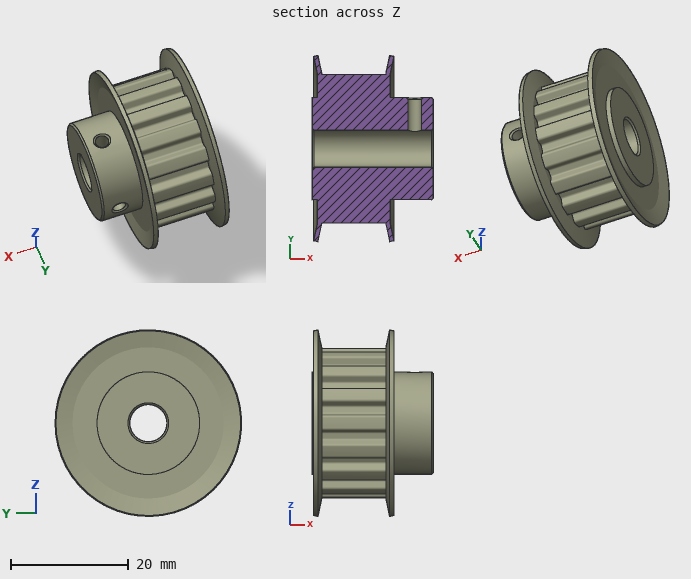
import cadquery as cq
import math


total_length = 20.65
hub_radius = 8.73
hub_chamfer = 0.32
bore_radius = 3.15
bore_chamfer = 0.32

flange_radius = 15.88
bend_radius = 12.85
sheet_thickness = 0.8
flange_angle = math.radians(12)
first_flange_x = 1.65
second_flange_x = 12.55

tooth_count = 16
tip_radius = 12.7
groove_depth = 1.4
groove_bottom_width = 1.33
flank_angle = math.radians(25)
root_fillet = 0.4
tip_fillet = 0.45

screw_x = 17.45
screw_radius = 1.15
screw_mouth_radius = 1.5


class RadialSelector(cq.Selector):
    """Straight edges along X whose distance from the axis lies between two radii."""

    def __init__(self, inner, outer):
        self.inner = inner
        self.outer = outer

    def filter(self, edges):
        along_axis = cq.selectors.ParallelDirSelector(cq.Vector(1, 0, 0)).filter(edges)
        return [e for e in along_axis if self.inner < math.hypot(e.Center().y, e.Center().z) < self.outer]


def make_core():
    core = cq.Workplane("YZ").circle(hub_radius).extrude(total_length)
    return core.faces(">X").edges().chamfer(hub_chamfer)


def make_toothed_rim():
    width = second_flange_x - first_flange_x
    rim = cq.Workplane("YZ").workplane(offset=first_flange_x).circle(tip_radius).extrude(width)

    root_radius = tip_radius - groove_depth
    bottom_half = groove_bottom_width / 2
    tip_half = bottom_half + groove_depth * math.tan(flank_angle)
    overshoot = groove_depth
    outer_half = tip_half + overshoot * math.tan(flank_angle)
    groove = (
        cq.Workplane("YZ")
        .workplane(offset=first_flange_x)
        .moveTo(root_radius, -bottom_half)
        .lineTo(tip_radius + overshoot, -outer_half)
        .lineTo(tip_radius + overshoot, outer_half)
        .lineTo(root_radius, bottom_half)
        .close()
        .extrude(width)
    )
    pitch_angle = 360 / tooth_count
    for index in range(tooth_count):
        rim = rim.cut(groove.rotate((0, 0, 0), (1, 0, 0), (index + 0.5) * pitch_angle))

    middle_radius = (tip_radius + root_radius) / 2
    rim = rim.edges(RadialSelector(0, middle_radius)).fillet(root_fillet)
    return rim.edges(RadialSelector(middle_radius, flange_radius)).fillet(tip_fillet)


def make_flange(inner_face_x, outward):
    """Dished disc; outward is -1 or +1, the X direction in which it bends away from the teeth."""
    outer_face_x = inner_face_x + outward * sheet_thickness
    inner_rise = (flange_radius - bend_radius) * math.tan(flange_angle)
    rim_x = inner_face_x + outward * inner_rise
    edge_x = rim_x + outward * sheet_thickness * math.cos(flange_angle)
    edge_radius = flange_radius - sheet_thickness * math.sin(flange_angle)
    return (
        cq.Workplane("XY")
        .moveTo(inner_face_x, 0)
        .lineTo(inner_face_x, bend_radius)
        .lineTo(rim_x, flange_radius)
        .lineTo(edge_x, edge_radius)
        .lineTo(outer_face_x, bend_radius)
        .lineTo(outer_face_x, 0)
        .close()
        .revolve(360, (0, 0, 0), (1, 0, 0))
    )


def make_bore():
    mouth_radius = bore_radius + bore_chamfer
    return (
        cq.Workplane("XY")
        .lineTo(0, mouth_radius)
        .lineTo(bore_chamfer, bore_radius)
        .lineTo(total_length - bore_chamfer, bore_radius)
        .lineTo(total_length, mouth_radius)
        .lineTo(total_length, 0)
        .close()
        .revolve(360, (0, 0, 0), (1, 0, 0))
    )


def make_screw_hole():
    """Countersunk hole along +Z from the axis out through the hub."""
    countersink_depth = screw_mouth_radius - screw_radius
    return (
        cq.Workplane("XZ")
        .lineTo(screw_radius, 0)
        .lineTo(screw_radius, hub_radius - countersink_depth)
        .lineTo(screw_mouth_radius, hub_radius)
        .lineTo(0, hub_radius)
        .close()
        .revolve(360, (0, 0, 0), (0, 1, 0))
        .translate((screw_x, 0, 0))
    )


screw_hole = make_screw_hole()

result = (
    make_core()
    .union(make_toothed_rim())
    .union(make_flange(first_flange_x, -1))
    .union(make_flange(second_flange_x, 1))
    .cut(make_bore())
    .cut(screw_hole)
    .cut(screw_hole.rotate((0, 0, 0), (1, 0, 0), -90))
)